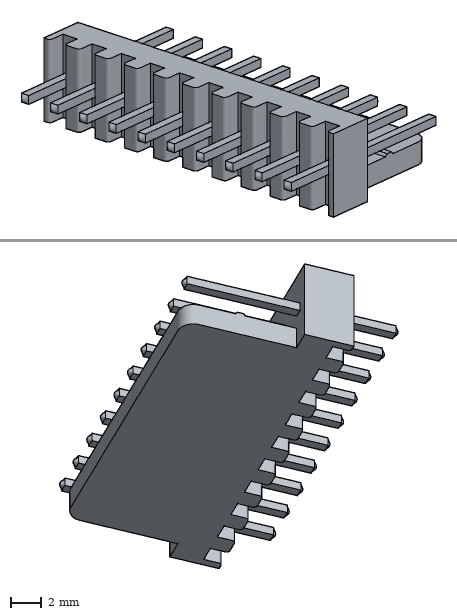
import cadquery as cq
PIN_COUNT = 10
PITCH = 2.54
PIN_WIDTH = 0.64
PIN_LENGTH = 15.3
PIN_TIP_LENGTH = 0.25
PIN_CENTRE_Z = 3.0

END_MARGIN = 1.18
HOUSING_LENGTH = (PIN_COUNT - 1) * PITCH + 2 * END_MARGIN
HOUSING_DEPTH = 3.5
HOUSING_HEIGHT = 6.0

SLOT_WIDTH = 1.24
SLOT_DEPTH = 1.3
TOOTH_ROUNDING = 0.25

SHELF_LENGTH = 22.22
SHELF_DEPTH = 8.0
SHELF_THICKNESS = 1.65
SHELF_CORNER_RADIUS = 1.1

RIDGE_START = 3.58
RIDGE_BASE_WIDTH = 0.78
RIDGE_HEIGHT = 0.18

PIN_REAR_Y = SHELF_DEPTH + PIN_TIP_LENGTH
PIN_FRONT_Y = PIN_REAR_Y - PIN_LENGTH

pin_positions = [(i - (PIN_COUNT - 1) / 2) * PITCH for i in range(PIN_COUNT)]


def make_housing():
    """Block with one full-height slot per pin and rounded slot mouths."""
    housing = cq.Workplane("XY").box(
        HOUSING_LENGTH, HOUSING_DEPTH, HOUSING_HEIGHT, centered=(True, False, False)
    ).translate((0, -HOUSING_DEPTH, 0))
    slots = (
        cq.Workplane("XY")
        .pushPoints([(x, SLOT_DEPTH / 2 - HOUSING_DEPTH) for x in pin_positions])
        .rect(SLOT_WIDTH, SLOT_DEPTH)
        .extrude(HOUSING_HEIGHT)
    )
    housing = housing.cut(slots)
    inner_half_length = (HOUSING_LENGTH - TOOTH_ROUNDING) / 2
    inner_region = cq.selectors.BoxSelector(
        (-inner_half_length, -HOUSING_DEPTH - TOOTH_ROUNDING, 0),
        (inner_half_length, 0, HOUSING_HEIGHT),
    )
    mouth_edges = housing.faces("<Y").edges("|Z").edges(inner_region)
    return mouth_edges.fillet(TOOTH_ROUNDING)


def make_shelf():
    """Flat shelf with rounded rear corners."""
    return (
        cq.Workplane("XY")
        .box(SHELF_LENGTH, SHELF_DEPTH, SHELF_THICKNESS, centered=(True, False, False))
        .edges("|Z and >Y")
        .fillet(SHELF_CORNER_RADIUS)
    )


def make_ridge():
    """Trapezoidal bar running the full length of the shelf."""
    ridge_end = RIDGE_START + RIDGE_BASE_WIDTH
    ridge_top = SHELF_THICKNESS + RIDGE_HEIGHT
    profile = [
        (RIDGE_START, SHELF_THICKNESS),
        (ridge_end, SHELF_THICKNESS),
        (ridge_end - RIDGE_HEIGHT, ridge_top),
        (RIDGE_START + RIDGE_HEIGHT, ridge_top),
    ]
    return cq.Workplane("YZ").polyline(profile).close().extrude(SHELF_LENGTH / 2, both=True)


def make_dome(rim, rim_y, height):
    """Smooth face on a square rim, rising to the given signed height along Y.

    The rise at fractions u and v of the half width is height * (1 - u^2) * (1 - v^2).
    """
    fractions = (-0.5, 0, 0.5)
    points = [
        cq.Vector(
            u * PIN_WIDTH / 2,
            rim_y + height * (1 - u**2) * (1 - v**2),
            PIN_CENTRE_Z + v * PIN_WIDTH / 2,
        )
        for u in fractions
        for v in fractions
    ]
    return cq.Face.makeNSidedSurface(rim, points)


def make_pin():
    """Square pin on X = 0, closed at both ends by a dome raised over the square section."""
    front_rim_y = PIN_FRONT_Y + PIN_TIP_LENGTH
    rear_rim_y = PIN_REAR_Y - PIN_TIP_LENGTH
    shank = (
        cq.Workplane("XY")
        .box(PIN_WIDTH, rear_rim_y - front_rim_y, PIN_WIDTH, centered=(True, False, True))
        .translate((0, front_rim_y, PIN_CENTRE_Z))
    )
    front_dome = make_dome(shank.faces("<Y").edges().vals(), front_rim_y, -PIN_TIP_LENGTH)
    rear_dome = make_dome(shank.faces(">Y").edges().vals(), rear_rim_y, PIN_TIP_LENGTH)
    pin_shell = cq.Shell.makeShell(shank.faces("#Y").vals() + [front_dome, rear_dome])
    return cq.Workplane(cq.Solid.makeSolid(pin_shell))


result = make_housing().union(make_shelf()).union(make_ridge())
pin = make_pin()
for x in pin_positions:
    result = result.union(pin.translate((x, 0, 0)))